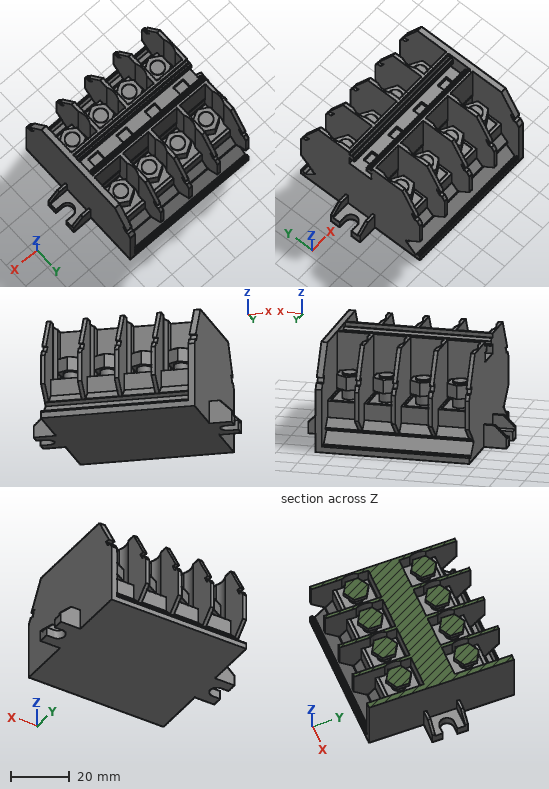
import cadquery as cq

total_length = 69.7
depth = 53.3
height = 37.0
pole_count = 4
pole_pitch = 12.95
partition_thickness = 1.4
end_plate_thickness = 2.2

half_depth = depth / 2
top_half_depth = 18.8
shoulder_z = 22.4
marker_groove = [(25.5, 24.25), (24.25, 24.25), (23.1, 26.4), (25.0, 26.2)]

wall_half_width = 5.9
floor_z = 16.1
floor_half_depth = 18.8
apron_top_z = 10.25
apron_nose = (21.6, 7.3)
plate_depth = 0.2
plate_length_x = 10.7
plate_outer_y = 17.55
wall_foot_top_z = 21.05
wall_foot_depth = 0.2

groove_mouth_top_z = 12.2
groove_catch = [(21.5, 7.3), (21.7, 7.05), (21.3, 6.9)]
groove_tip = (20.35, 6.1)
groove_bottom = (24.8, 1.6)
lip_crest = [(25.5, 2.4), (25.7, 2.8), (26.1, 2.8), (26.4, 2.6)]
lip_foot_z = 2.1

slot_half_width = 4.95
slot_floor_z = 29.9
rail_bottom_z = 33.25
rail_top_z = 35.6
rail_nose = [
    (2.65, rail_bottom_z),
    (2.65, 33.65),
    (3.1, 33.9),
    (3.1, 34.85),
    (2.65, 34.9),
    (3.55, 35.8),
    (4.05, 35.8),
    (4.05, rail_top_z),
]
square_size = 4.45
square_depth = 1.4

stud_diameter = 5.15
stud_y = 12.4
stud_from_pole_edge = 6.8
stud_top_z = 25.0
nut_across_flats = 8.1
nut_bottom_z = 19.65
nut_top_z = 24.45
tool_clearance_radius = 6.2

foot_half_width = 6.55
foot_web_thickness = 1.05
foot_web_height = 7.95
foot_web_end_height = 4.05
foot_chamfer_length = 4.1
foot_pad_thickness = 3.35
foot_slot_half_width = 2.65
foot_slot_depth = 5.6

seat_z = floor_z - plate_depth
poles_length = pole_count * pole_pitch
body_length = poles_length + end_plate_thickness
body_left = -body_length / 2
end_plate_left = body_left + poles_length
foot_length = (total_length - body_length) / 2
pole_edges = [body_left + i * pole_pitch for i in range(pole_count)]
sides = (-1, 1)
clear = 0.7


def prism_along_x(points, x_start, length):
    """Extrude a (Y, Z) polygon from x_start."""
    return cq.Workplane("YZ", origin=(x_start, 0, 0)).polyline(points).close().extrude(length)


def mirrored(points, side):
    """Place a (Y, Z) point list on the +Y (side 1) or -Y (side -1) half."""
    return [(side * y, z) for y, z in points]


def block(x_start, length, y_start, width, z_start, tall):
    """Box given by its lowest corner and its size along each axis."""
    return cq.Workplane("XY", origin=(x_start, y_start, z_start)).box(length, width, tall, centered=False)


half_outline = [(half_depth, 0), (half_depth, shoulder_z), *marker_groove, (top_half_depth, height)]
outline = half_outline + mirrored(half_outline, -1)[::-1]


def cut_label_groove(poles, side):
    """Cut a 45-degree groove with a small catch above its tip and a retaining lip below."""
    groove = [
        (half_depth, groove_mouth_top_z),
        *groove_catch,
        groove_tip,
        groove_bottom,
        *lip_crest,
        (half_depth, lip_foot_z),
        (half_depth + clear, lip_foot_z),
        (half_depth + clear, groove_mouth_top_z),
    ]
    return poles.cut(prism_along_x(mirrored(groove, side), body_left, poles_length))


def cut_jumper_slot(poles):
    """T-shaped slot between two snap rails."""
    half_slot = [
        (slot_half_width, slot_floor_z),
        (slot_half_width, rail_bottom_z),
        *rail_nose,
        (slot_half_width, rail_top_z),
        (slot_half_width, height + clear),
    ]
    slot = half_slot + mirrored(half_slot, -1)[::-1]
    return poles.cut(prism_along_x(slot, body_left, poles_length))


def cut_cell(poles, pole_edge, side):
    """Terminal cell: open on top and outside, with a sloping apron under its floor."""
    cell_left = pole_edge + partition_thickness
    cell_length = pole_pitch - partition_thickness
    cell = [
        (wall_half_width, height + clear),
        (wall_half_width, wall_foot_top_z),
        (wall_half_width - wall_foot_depth, wall_foot_top_z),
        (wall_half_width - wall_foot_depth, floor_z),
        (floor_half_depth, floor_z),
        (floor_half_depth, apron_top_z),
        apron_nose,
        (half_depth + clear, apron_nose[1]),
        (half_depth + clear, height + clear),
    ]
    poles = poles.cut(prism_along_x(mirrored(cell, side), cell_left, cell_length))

    seat_width = plate_outer_y - wall_half_width
    seat_start = min(side * wall_half_width, side * plate_outer_y)
    seat = block(cell_left, plate_length_x, seat_start, seat_width, seat_z, plate_depth)

    clearance = (
        cq.Workplane("XY", origin=(pole_edge + stud_from_pole_edge, side * stud_y, seat_z))
        .circle(tool_clearance_radius)
        .extrude(height)
        .intersect(block(pole_edge, partition_thickness, -half_depth, depth, seat_z, height))
    )
    return poles.cut(seat).cut(clearance)


def terminal_stud(pole_edge, side):
    """Threaded stud with its hexagon nut, points of the nut along Y."""
    x = pole_edge + stud_from_pole_edge
    stud = (
        cq.Workplane("XY", origin=(x, side * stud_y, seat_z))
        .circle(stud_diameter / 2)
        .extrude(stud_top_z - seat_z)
    )
    nut = (
        cq.Workplane("XY", origin=(x, side * stud_y, nut_bottom_z))
        .polygon(6, nut_across_flats, circumscribed=True)
        .extrude(nut_top_z - nut_bottom_z)
    )
    return stud.union(nut)


def mounting_foot():
    """Slotted foot on the -X end, stiffened by a chamfered web on each edge."""
    foot_left = -total_length / 2
    foot = block(foot_left, foot_length, -foot_half_width, 2 * foot_half_width, 0, foot_pad_thickness)
    web_outline = [
        (foot_left, 0),
        (foot_left + foot_length, 0),
        (foot_left + foot_length, foot_web_height),
        (foot_left + foot_chamfer_length, foot_web_height),
        (foot_left, foot_web_end_height),
    ]
    for web_start in (-foot_half_width, foot_half_width - foot_web_thickness):
        web = (
            cq.Workplane("XZ", origin=(0, web_start, 0))
            .polyline(web_outline)
            .close()
            .extrude(-foot_web_thickness)
        )
        foot = foot.union(web)
    slot_centre = foot_left + foot_slot_depth - foot_slot_half_width
    slot = (
        cq.Workplane("XY")
        .moveTo(foot_left - clear, -foot_slot_half_width)
        .lineTo(slot_centre, -foot_slot_half_width)
        .threePointArc((foot_left + foot_slot_depth, 0), (slot_centre, foot_slot_half_width))
        .lineTo(foot_left - clear, foot_slot_half_width)
        .close()
        .extrude(foot_pad_thickness)
    )
    return foot.cut(slot)


poles = cut_jumper_slot(prism_along_x(outline, body_left, poles_length))
for side in sides:
    poles = cut_label_groove(poles, side)
    for pole_edge in pole_edges:
        poles = cut_cell(poles, pole_edge, side)

square_floor_z = slot_floor_z - square_depth
for pole_edge in pole_edges:
    square_left = pole_edge + (pole_pitch - square_size) / 2
    poles = poles.cut(
        block(square_left, square_size, -square_size / 2, square_size, square_floor_z, square_depth)
    )

result = poles.union(prism_along_x(outline, end_plate_left, end_plate_thickness))
for side in sides:
    for pole_edge in pole_edges:
        result = result.union(terminal_stud(pole_edge, side))

left_foot = mounting_foot()
result = result.union(left_foot).union(left_foot.mirror("YZ"))